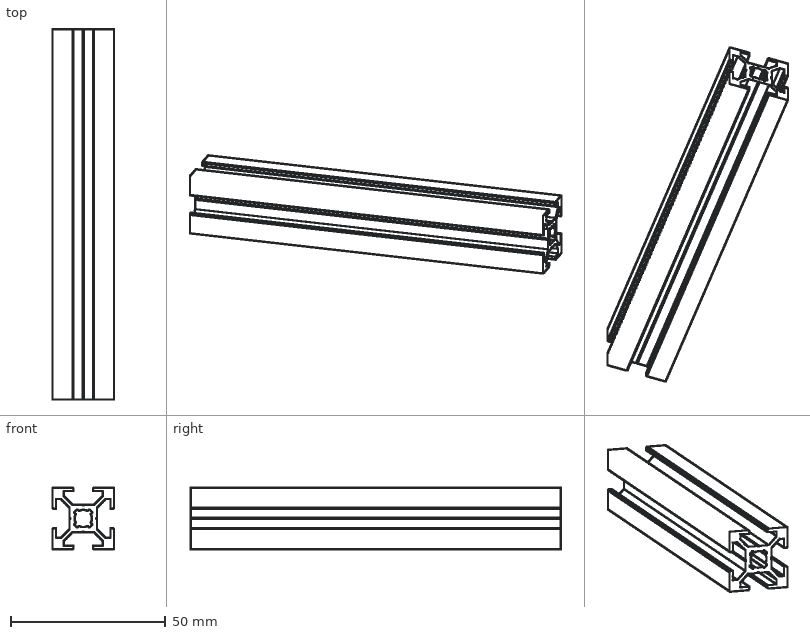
import cadquery as cq
import math

length = 120.0
width = 20.0
corner_radius = 0.4

slot_opening = 6.2
lip_thickness = 1.2
lip_chamfer = 0.4
cavity_width = 12.5
web_thickness = 1.5

core_width = 9.0
mark_width = 0.5
mark_depth = 0.2

bore_diameter = 5.5
groove_width = 1.5
groove_span = 7.0

half_width = width / 2
half_length = length / 2


def slot_outline():
    """Half outline of the top slot as (x, z), from the mouth down to the centre mark."""
    half_opening = slot_opening / 2
    half_cavity = cavity_width / 2
    half_core = core_width / 2
    lip_underside = half_width - lip_thickness
    web_offset = web_thickness / math.sqrt(2)
    return [
        (half_opening + lip_chamfer, half_width),
        (half_opening, half_width - lip_chamfer),
        (half_opening, lip_underside),
        (half_cavity, lip_underside),
        (half_cavity, half_cavity + web_offset),
        (half_core - web_offset, half_core),
        (mark_width / 2, half_core),
        (0, half_core - mark_depth),
    ]


def make_slot():
    """Full-length cutter for the top slot, symmetric about the YZ plane."""
    right_side = slot_outline()
    left_side = [(-x, z) for x, z in reversed(right_side[:-1])]
    return extrude_outline(right_side + left_side)


def extrude_outline(points):
    """Full-length prism along Y from a closed (x, z) outline."""
    return cq.Workplane("XZ").polyline(points).close().extrude(half_length, both=True)


def make_bore():
    """Full-length cutter for the central bore with its diagonal grooves."""
    bore = cq.Workplane("XZ").circle(bore_diameter / 2).extrude(half_length, both=True)
    half_groove = groove_width / 2
    groove_reach = groove_span / 2
    groove = extrude_outline(
        [
            (-half_groove, 0),
            (half_groove, 0),
            (half_groove, groove_reach),
            (-half_groove, groove_reach),
        ]
    )
    for angle in (45, 135, 225, 315):
        bore = bore.union(groove.rotate((0, 0, 0), (0, 1, 0), angle))
    return bore


result = cq.Workplane("XY").box(width, length, width).edges("|Y").fillet(corner_radius)

slot = make_slot()
for angle in (0, 90, 180, 270):
    result = result.cut(slot.rotate((0, 0, 0), (0, 1, 0), angle))

result = result.cut(make_bore())